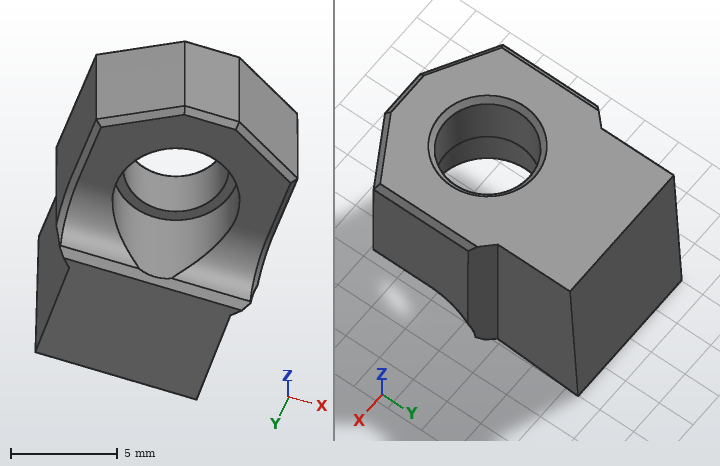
import cadquery as cq
import math

body_width = 10.08
shank_width = 8.07
front_y = -5.06
back_bottom_y = 8.44
back_top_y = 7.96
total_height = 9.0
head_height = 6.01
nose_flat_width = 2.73
nose_angle = 30.0
shoulder_start_y = 2.67
edge_chamfer = 0.3
draft_start_z = -2.0
draft_angle = 0.5

relief_radius = 2.5
wall_y = 2.92
underside_angle = 5.7
heel_y = 3.25
heel_height = 0.35

hole_diameter = 5.0
counterbore_diameter = 6.0
counterbore_floor_z = -3.24

half_width = body_width / 2
half_shank = shank_width / 2
head_bottom_z = -head_height
relief_start_y = wall_y - relief_radius
relief_center_z = head_bottom_z - relief_radius


def underside_z(y):
    """Height of the sloping shank underside at a given Y."""
    return -total_height + (back_bottom_y - y) * math.tan(math.radians(underside_angle))


def side_profile():
    """Side outline with the concave relief, extruded across the full width."""
    arc_end_z = underside_z(wall_y)
    drop = arc_end_z - relief_center_z
    arc_end_y = relief_start_y + math.sqrt(relief_radius**2 - drop**2)
    end_angle = math.atan2(drop, arc_end_y - relief_start_y)
    middle_angle = (end_angle + math.pi / 2) / 2
    arc_middle = (
        relief_start_y + relief_radius * math.cos(middle_angle),
        relief_center_z + relief_radius * math.sin(middle_angle),
    )
    return (
        cq.Workplane("YZ")
        .moveTo(front_y, 0)
        .lineTo(front_y, head_bottom_z)
        .lineTo(relief_start_y, head_bottom_z)
        .threePointArc(arc_middle, (arc_end_y, arc_end_z))
        .lineTo(back_bottom_y, -total_height)
        .lineTo(back_top_y, 0)
        .close()
        .extrude(half_width, both=True)
    )


def nose_outline(z):
    """Plan outline with the angled nose corners, open-ended behind the shank."""
    half_flat = nose_flat_width / 2
    nose_depth = (half_width - half_flat) * math.tan(math.radians(nose_angle))
    corner_y = front_y + nose_depth
    beyond_back_y = back_bottom_y + edge_chamfer
    return (
        cq.Workplane("XY", origin=(0, 0, z))
        .polyline([
            (-half_flat, front_y),
            (half_flat, front_y),
            (half_width, corner_y),
            (half_width, beyond_back_y),
            (-half_width, beyond_back_y),
            (-half_width, corner_y),
        ])
        .close()
    )


def nose_block():
    """Straight lower walls with slightly drafted walls above them."""
    lower = nose_outline(-total_height).extrude(total_height + draft_start_z)
    upper = nose_outline(draft_start_z).extrude(-draft_start_z, taper=draft_angle)
    return lower.union(upper)


def chamfer_head(body):
    """Chamfer the rims of the head, including the sides of the relief."""
    body = body.faces(">Z").edges("not(>Y)").chamfer(edge_chamfer)
    head_bottom = body.faces(cq.selectors.NearestToPointSelector((0, front_y / 2, head_bottom_z)))
    rim = head_bottom.edges("not(>Y)").vals()
    relief_sides = body.edges("%CIRCLE").vals()
    return body.newObject(rim + relief_sides).chamfer(edge_chamfer)


def heel_cut():
    """Wedge that bevels the lower edge of the relief wall."""
    heel_z = underside_z(heel_y)
    slope = heel_height / (heel_y - wall_y)
    reach = relief_radius / 2
    return (
        cq.Workplane("YZ")
        .polyline([
            (heel_y + reach, heel_z - reach * slope),
            (heel_y - reach, heel_z + reach * slope),
            (heel_y - reach, heel_z - reach * slope),
        ])
        .close()
        .extrude(half_width, both=True)
    )


def shoulder_cut(side):
    """Material beside the shank, bounded by a 45 degree shoulder."""
    shoulder_end_y = shoulder_start_y + half_width - half_shank
    return (
        cq.Workplane("XY")
        .polyline([
            (side * half_width, shoulder_start_y),
            (side * half_shank, shoulder_end_y),
            (side * half_shank, back_bottom_y),
            (side * half_width, back_bottom_y),
        ])
        .close()
        .extrude(-total_height)
    )


def screw_hole():
    """Through hole, top countersink and counterbore from below."""
    hole_radius = hole_diameter / 2
    counterbore_radius = counterbore_diameter / 2
    return (
        cq.Workplane("XZ")
        .polyline([
            (0, 0),
            (hole_radius + edge_chamfer, 0),
            (hole_radius, -edge_chamfer),
            (hole_radius, counterbore_floor_z),
            (counterbore_radius, counterbore_floor_z),
            (counterbore_radius, -total_height),
            (0, -total_height),
        ])
        .close()
        .revolve(360, (0, 0, 0), (0, 1, 0))
    )


result = chamfer_head(side_profile().intersect(nose_block()))
result = result.cut(heel_cut())
for side in (-1, 1):
    result = result.cut(shoulder_cut(side))
result = result.cut(screw_hole())